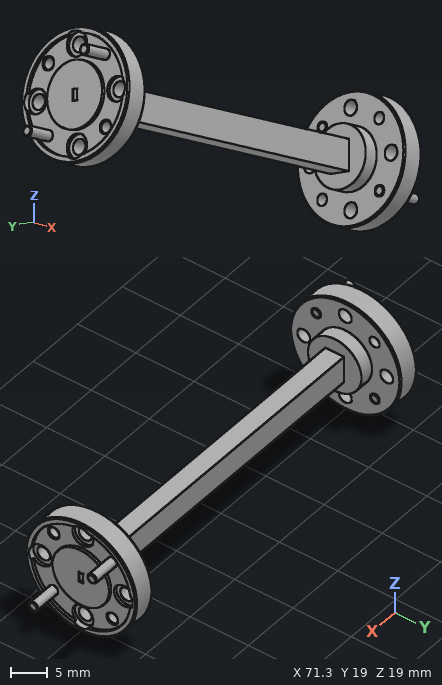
import cadquery as cq
import math


TOTAL_LENGTH = 71.25
PIN_PROTRUSION = 4.1
FACE_TO_FACE = TOTAL_LENGTH - 2 * PIN_PROTRUSION

FLANGE_DIAMETER = 19.0
FLANGE_THICKNESS = 3.7
FLANGE_CHAMFER = 0.2
COLLAR_DIAMETER = 9.2
COLLAR_LENGTH = 2.35

RIM_INNER_DIAMETER = 17.1
CENTRE_DIAMETER = 9.7
RECESS_DEPTH = 0.5

HOLE_CIRCLE_RADIUS = 7.1
SCREW_HOLE_DIAMETER = 2.2
COUNTERBORE_DIAMETER = 3.55
COUNTERBORE_DEPTH = 1.0
PIN_DIAMETER = 1.6
PIN_CHAMFER = 0.15
CLEARANCE_HOLE_DIAMETER = 1.7
CLEARANCE_COUNTERSINK = 0.15

TUBE_WIDTH = 3.2
TUBE_HEIGHT = 4.5
CHANNEL_WIDTH = 0.8
CHANNEL_HEIGHT = 1.65
CHANNEL_DEPTH = 0.3

FACE_X = -FACE_TO_FACE / 2
FLANGE_BACK_X = FACE_X + FLANGE_THICKNESS
COLLAR_END_X = FLANGE_BACK_X + COLLAR_LENGTH


def circle_points(angles):
    """Points on the hole circle as (y, z), with angles in degrees from +Y towards +Z."""
    return [
        (
            HOLE_CIRCLE_RADIUS * math.cos(math.radians(angle)),
            HOLE_CIRCLE_RADIUS * math.sin(math.radians(angle)),
        )
        for angle in angles
    ]


SCREW_POINTS = circle_points([0, 90, 180, 270])
CLEARANCE_POINTS = circle_points([45, 225])
PIN_POINTS = circle_points([135, 315])


def plane_at(x):
    """Work plane across the tube at x; drawing in it uses (y, z) and extruding goes towards +X."""
    return cq.Workplane("YZ", origin=(x, 0, 0))


def turned(body):
    """The matching body at the other end."""
    return body.rotate((0, 0, 0), (0, 0, 1), 180)


def make_countersinks():
    """45 degree cones that open the clearance holes at the floor of the ring recess."""
    mouth_radius = CLEARANCE_HOLE_DIAMETER / 2 + CLEARANCE_COUNTERSINK
    return (
        plane_at(FACE_X + RECESS_DEPTH)
        .pushPoints(CLEARANCE_POINTS)
        .circle(mouth_radius)
        .extrude(CLEARANCE_COUNTERSINK, taper=45)
    )


def make_flange():
    """Flange at the -X end with its collar, recessed mating face and holes."""
    disc = plane_at(FACE_X).circle(FLANGE_DIAMETER / 2).extrude(FLANGE_THICKNESS)
    disc = disc.faces("<X or >X").edges().chamfer(FLANGE_CHAMFER)
    collar = plane_at(FLANGE_BACK_X).circle(COLLAR_DIAMETER / 2).extrude(COLLAR_LENGTH)

    recess = (
        plane_at(FACE_X)
        .circle(RIM_INNER_DIAMETER / 2)
        .circle(CENTRE_DIAMETER / 2)
        .extrude(RECESS_DEPTH)
    )
    flange = disc.union(collar).cut(recess)

    for points, diameter, depth in [
        (SCREW_POINTS, SCREW_HOLE_DIAMETER, FLANGE_THICKNESS),
        (SCREW_POINTS, COUNTERBORE_DIAMETER, COUNTERBORE_DEPTH),
        (CLEARANCE_POINTS, CLEARANCE_HOLE_DIAMETER, FLANGE_THICKNESS),
        (PIN_POINTS, PIN_DIAMETER, FLANGE_THICKNESS),
    ]:
        holes = plane_at(FACE_X).pushPoints(points).circle(diameter / 2).extrude(depth)
        flange = flange.cut(holes)
    return flange.cut(make_countersinks())


def make_waveguide():
    """Tube with a flange at each end and a blind channel mouth in each mating face."""
    tube_length = -2 * COLLAR_END_X
    tube = plane_at(COLLAR_END_X).rect(TUBE_WIDTH, TUBE_HEIGHT).extrude(tube_length)
    flange = make_flange()
    mouth = plane_at(FACE_X).rect(CHANNEL_WIDTH, CHANNEL_HEIGHT).extrude(CHANNEL_DEPTH)
    return tube.union(flange).union(turned(flange)).cut(mouth).cut(turned(mouth))


def make_pin(point):
    """Dowel pin at the -X end, flush with the back of the flange and chamfered at both ends."""
    pin = (
        plane_at(FACE_X - PIN_PROTRUSION)
        .center(*point)
        .circle(PIN_DIAMETER / 2)
        .extrude(PIN_PROTRUSION + FLANGE_THICKNESS)
    )
    return pin.faces("<X or >X").chamfer(PIN_CHAMFER)


waveguide = make_waveguide()
pins = []
for pin_point in PIN_POINTS:
    pin = make_pin(pin_point)
    pins.append(pin.val())
    pins.append(turned(pin).val())

result = cq.Compound.makeCompound([waveguide.val(), *pins])